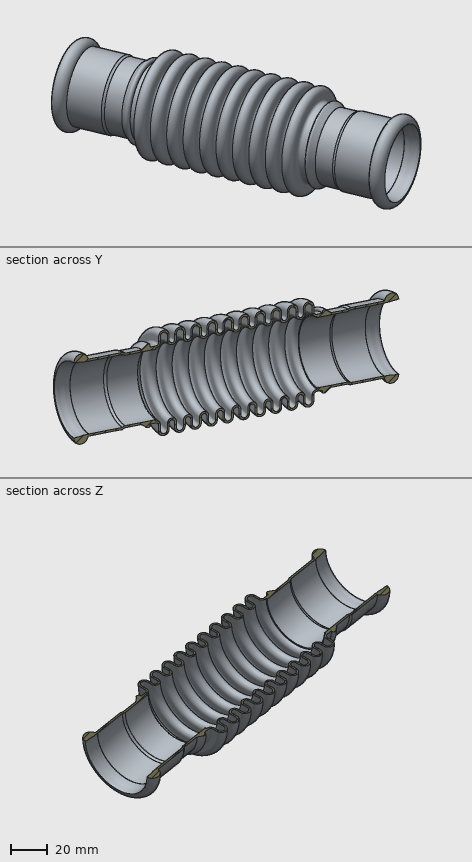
import cadquery as cq
import math

length = 202.0

mouth_radius = 44.0 / 2
bead_outer_radius = 53.1 / 2
bead_tube_radius = bead_outer_radius - mouth_radius
socket_radius = 45.5 / 2
socket_bore_radius = 42.5 / 2
socket_end = 30.0

lip_chamfer_end = 1.6
lip_radius = 43.5 / 2
lip_end = 3.2
seal_start = 6.0
seal_radius = 42.6 / 2
seal_end = 9.3

taper_length = 1.6
stub_radius = 44.0 / 2
stub_bore_radius = 41.0 / 2

collar_start = 42.2
collar_shoulder = 45.2
collar_shoulder_radius = 24.2
collar_peak = 46.3
collar_peak_radius = 24.6
collar_end = 47.7
collar_end_radius = 23.5
stub_end = 51.0

bellows_wall = 1.5
bellows_overlap = 1.5
convolution_count = 10
crown_span = 89.9
pitch = crown_span / (convolution_count - 1)
crown_radius = 62.0 / 2
root_radius = 45.5 / 2
crown_round = 3.5
root_round = pitch / 2 - crown_round


def mirrored(x):
    """Station on the far half that matches a station on the near half."""
    return length - x


def arc_point(center, radius, degrees):
    """Point on a circle at an angle measured from +X."""
    angle = math.radians(degrees)
    return (center[0] + radius * math.cos(angle), center[1] + radius * math.sin(angle))


def spin(profile):
    """Full turn of a closed profile about the X axis."""
    return profile.revolve(360, (0, 0, 0), (1, 0, 0))


def end_fitting():
    """Socket, stub and collar of the left end, revolved about X."""
    bead_center = (bead_tube_radius, mouth_radius)
    bead_rise = socket_radius - mouth_radius
    bead_foot = (
        bead_center[0] + math.sqrt(bead_tube_radius**2 - bead_rise**2),
        socket_radius,
    )
    taper_end = socket_end + taper_length
    profile = (
        cq.Workplane("XY")
        .moveTo(0, mouth_radius)
        .threePointArc(arc_point(bead_center, bead_tube_radius, 90), bead_foot)
        .lineTo(socket_end, socket_radius)
        .lineTo(taper_end, stub_radius)
        .lineTo(collar_start, stub_radius)
        .lineTo(collar_shoulder, collar_shoulder_radius)
        .threePointArc((collar_peak, collar_peak_radius), (collar_end, collar_end_radius))
        .lineTo(collar_end, root_radius)
        .lineTo(stub_end, root_radius)
        .lineTo(stub_end, stub_bore_radius)
        .lineTo(taper_end, stub_bore_radius)
        .lineTo(socket_end, socket_bore_radius)
        .lineTo(seal_end, socket_bore_radius)
        .lineTo(seal_end, seal_radius)
        .lineTo(seal_start, seal_radius)
        .lineTo(lip_end, lip_radius)
        .lineTo(lip_chamfer_end, lip_radius)
        .close()
    )
    return spin(profile)


def bellows_body(offset):
    """Solid bellows whose surface lies inside the outer one by the offset."""
    crown_r = crown_round - offset
    root_r = root_round + offset
    crown_center = crown_radius - crown_round
    root_center = root_radius + root_round
    first = (length - crown_span) / 2
    start = stub_end - bellows_overlap

    profile = cq.Workplane("XY").moveTo(start, 0).lineTo(start, root_radius - offset)
    profile = profile.lineTo(first - pitch / 2, root_radius - offset)
    for index in range(convolution_count):
        x = first + index * pitch
        left_root = x - pitch / 2
        right_root = x + pitch / 2
        profile = (
            profile.threePointArc(
                arc_point((left_root, root_center), root_r, -45), (x - crown_r, root_center)
            )
            .lineTo(x - crown_r, crown_center)
            .threePointArc((x, crown_center + crown_r), (x + crown_r, crown_center))
            .lineTo(x + crown_r, root_center)
            .threePointArc(
                arc_point((right_root, root_center), root_r, -135),
                (right_root, root_center - root_r),
            )
        )
    profile = profile.lineTo(mirrored(start), root_radius - offset).lineTo(mirrored(start), 0)
    return spin(profile.close())


left_end = end_fitting()
right_end = left_end.mirror("YZ", (length / 2, 0, 0))
bellows = bellows_body(0).cut(bellows_body(bellows_wall))
result = bellows.union(left_end).union(right_end)